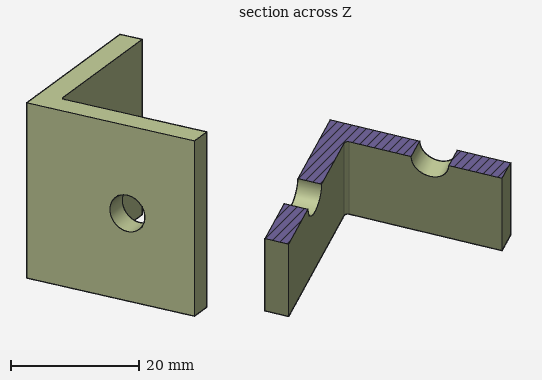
import cadquery as cq

leg_length = 30.0
height = leg_length
thickness = 4.0
inner_fillet_radius = 0.6
hole_diameter = 6.2
hole_from_corner = 18.0
hole_height = height / 2


def leg_hole(normal, x, y):
    """Cylinder through one leg, starting on its outer face."""
    return cq.Workplane(
        cq.Solid.makeCylinder(
            hole_diameter / 2, thickness, cq.Vector(x, y, hole_height), normal
        )
    )


body = (
    cq.Workplane("XY")
    .moveTo(0, 0)
    .lineTo(leg_length, 0)
    .lineTo(leg_length, thickness)
    .lineTo(thickness, thickness)
    .lineTo(thickness, leg_length)
    .lineTo(0, leg_length)
    .close()
    .extrude(height)
)
inner_corner = cq.NearestToPointSelector((thickness, thickness, height / 2))
body = body.edges(inner_corner).fillet(inner_fillet_radius)

hole_along_y = leg_hole(cq.Vector(0, 1, 0), hole_from_corner, 0)
hole_along_x = leg_hole(cq.Vector(1, 0, 0), 0, hole_from_corner)
result = body.cut(hole_along_y).cut(hole_along_x)